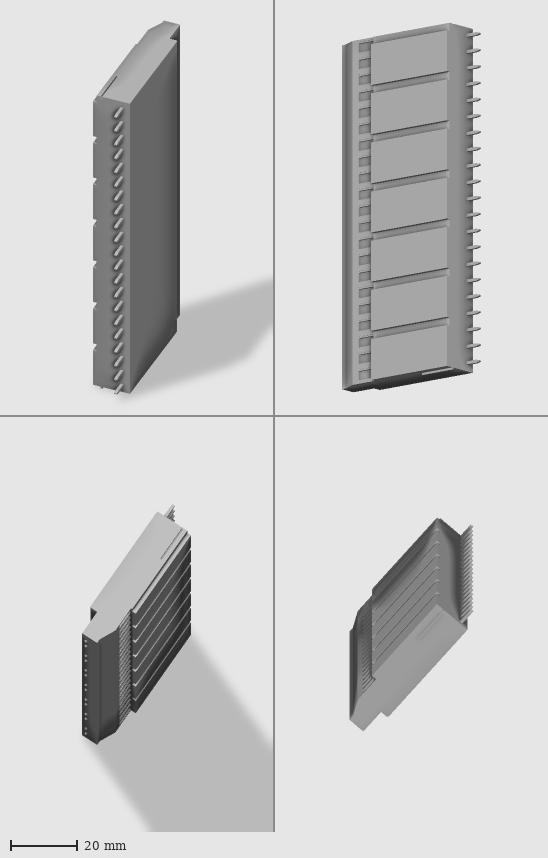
import cadquery as cq


position_count = 21
group_size = 3
body_height = 106.6
pitch = body_height / position_count
group_height = group_size * pitch
group_count = position_count // group_size

body_length = 44.6
body_thickness = 12.2
front_face_x = 1.7
rib_root_x = 1.3
rib_length = 29.8
nose_left_x = 4.1
nose_right_x = 9.5
slope_top_y = 43.2
slope_bottom_x = 1.9
slope_bottom_y = 38.7
slope_toe_y = 38.4
shoulder_y = 36.5
shoulder_radius = 0.6

rib_gap = pitch / 2

window_end_y = 36.2
window_length = window_end_y - rib_length
window_height = 3.8
window_depth = 0.1
window_floor_height = 2.8
window_floor_depth = 0.8

pin_x = 9.7
pin_size = 1.0
pin_length = 5.0
pin_taper = 1.3
pin_tip_height = 0.3

nib_x = 8.0
nib_radius = 0.48
nib_length = 0.6
nib_straight_length = 0.2
nib_tip_radius = 0.1

key_x = 2.6
key_width = 0.5
key_length = 11.9
key_height = 0.6


def position_z(index):
    """Centre height of a position, counted from the top."""
    return body_height - (index + 0.5) * pitch


def corner_box(x, y, z, dx, dy, dz):
    """Box given by its lowest corner and its sizes."""
    return cq.Workplane("XY").box(dx, dy, dz, centered=False).translate((x, y, z))


def make_housing():
    outline = [
        (rib_root_x, 0),
        (body_thickness, 0),
        (body_thickness, shoulder_y),
        (nose_right_x, shoulder_y),
        (nose_right_x, body_length),
        (nose_left_x, body_length),
        (nose_left_x, slope_top_y),
        (slope_bottom_x, slope_bottom_y),
        (front_face_x, slope_toe_y),
        (front_face_x, rib_length),
        (rib_root_x, rib_length),
    ]
    housing = cq.Workplane("XY").polyline(outline).close().extrude(body_height)
    shoulder = cq.selectors.NearestToPointSelector((body_thickness, shoulder_y, body_height / 2))
    return housing.edges(shoulder).fillet(shoulder_radius)


def make_rib(group):
    bottom_z = body_height - (group + 1) * group_height
    return corner_box(0, 0, bottom_z, rib_root_x, rib_length, group_height - rib_gap)


def make_window(z):
    """Shallow window with a deeper central floor."""
    rim = corner_box(
        front_face_x, rib_length, z - window_height / 2,
        window_depth, window_length, window_height,
    )
    floor = corner_box(
        front_face_x, rib_length, z - window_floor_height / 2,
        window_floor_depth, window_length, window_floor_height,
    )
    return rim.union(floor)


def make_pin(z):
    """Square pin whose free end narrows in height."""
    half = pin_size / 2
    half_tip = pin_tip_height / 2
    taper_y = pin_taper - pin_length
    outline = [
        (0, z - half),
        (0, z + half),
        (taper_y, z + half),
        (-pin_length, z + half_tip),
        (-pin_length, z - half_tip),
        (taper_y, z - half),
    ]
    plane = cq.Workplane("YZ", origin=(pin_x, 0, 0))
    return plane.polyline(outline).close().extrude(half, both=True)


def make_nib(z):
    """Round nib turned about the Y direction."""
    half_profile = [
        (0, 0),
        (nib_radius, 0),
        (nib_radius, nib_straight_length),
        (nib_tip_radius, nib_length),
        (0, nib_length),
    ]
    plane = cq.Workplane("XY", origin=(nib_x, body_length, z))
    return plane.polyline(half_profile).close().revolve(360, (0, 0, 0), (0, 1, 0))


result = make_housing()

for group in range(group_count):
    result = result.union(make_rib(group))

for position in range(position_count):
    result = result.cut(make_window(position_z(position)))
    result = result.union(make_pin(position_z(position)))
    if position % group_size < group_size - 1:
        result = result.union(make_nib(position_z(position) - pitch / 2))

slot_floor_z = body_height - key_height
result = result.union(corner_box(key_x, 0, -key_height, key_width, key_length, key_height))
result = result.cut(corner_box(key_x, 0, slot_floor_z, key_width, key_length, key_height))